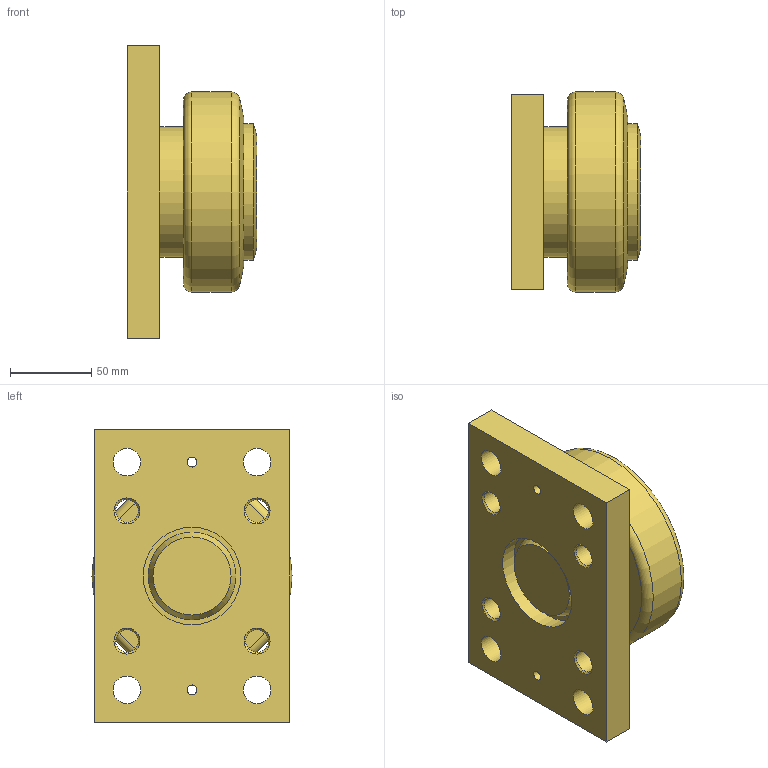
import cadquery as cq

PLATE_THICKNESS = 20
PLATE_WIDTH = 120
PLATE_HEIGHT = 180

HOLE_Y = 40
OUTER_ROW_Z = 70
INNER_ROW_Z = 40
CLEARANCE_DIAMETER = 17
THREAD_DIAMETER = 14
THREAD_CHAMFER = 1
DOWEL_DIAMETER = 6

RECESS_RADIUS = 30
RECESS_DEPTH = 10
PIN_BASE_RADIUS = 27
PIN_TIP_RADIUS = 24
PIN_PROJECTION = 6

HUB_RADIUS = 40
ROLLER_RADIUS = 61.5
ROLLER_START_X = 34.5
ROLLER_END_X = 71.5
EDGE_RADIUS = 5
TAPER_START_X = 69
TAPER_START_RADIUS = 57.5
TAPER_END_RADIUS = 46

CAP_RADIUS = 42
CAP_END_X = 79.5
CAP_CHAMFER_LENGTH = 2
CAP_CHAMFER_DEPTH = 7


def make_plate():
    return cq.Workplane("YZ").rect(PLATE_WIDTH, PLATE_HEIGHT).extrude(PLATE_THICKNESS)


def make_roller():
    """Hub, tyre and cap as one turned profile (X along the axis, Y as radius)."""
    tyre_flat_end_x = TAPER_START_X - EDGE_RADIUS
    profile = (
        cq.Workplane("XY")
        .moveTo(PLATE_THICKNESS, 0)
        .lineTo(PLATE_THICKNESS, HUB_RADIUS)
        .lineTo(ROLLER_START_X, HUB_RADIUS)
        .lineTo(ROLLER_START_X, ROLLER_RADIUS - EDGE_RADIUS)
        .radiusArc((ROLLER_START_X + EDGE_RADIUS, ROLLER_RADIUS), EDGE_RADIUS)
        .lineTo(tyre_flat_end_x, ROLLER_RADIUS)
        .tangentArcPoint((TAPER_START_X, TAPER_START_RADIUS), relative=False)
        .lineTo(ROLLER_END_X, TAPER_END_RADIUS)
        .lineTo(ROLLER_END_X, CAP_RADIUS)
        .lineTo(CAP_END_X - CAP_CHAMFER_LENGTH, CAP_RADIUS)
        .lineTo(CAP_END_X, CAP_RADIUS - CAP_CHAMFER_DEPTH)
        .lineTo(CAP_END_X, 0)
        .close()
    )
    return profile.revolve(360, (0, 0, 0), (1, 0, 0))


def round_holes(points, diameter):
    return cq.Workplane("YZ").pushPoints(points).circle(diameter / 2).extrude(PLATE_THICKNESS)


def corner_points(row_z):
    return [(y, z) for y in (-HOLE_Y, HOLE_Y) for z in (-row_z, row_z)]


def make_thread_holes():
    """Tapping holes through the plate, countersunk at the back face."""
    points = corner_points(INNER_ROW_Z)
    holes = round_holes(points, THREAD_DIAMETER)
    rim = THREAD_DIAMETER / 2 + THREAD_CHAMFER
    for y, z in points:
        countersink = cq.Solid.makeCone(
            rim, THREAD_DIAMETER / 2, THREAD_CHAMFER, cq.Vector(0, y, z), cq.Vector(1, 0, 0)
        )
        holes = holes.union(cq.Workplane(countersink))
    return holes


def make_recess():
    """Round pocket in the back face, leaving the tapered pin end standing on its floor."""
    pocket = cq.Workplane("YZ").circle(RECESS_RADIUS).extrude(RECESS_DEPTH)
    pin_end = cq.Solid.makeCone(
        PIN_BASE_RADIUS, PIN_TIP_RADIUS, PIN_PROJECTION, cq.Vector(RECESS_DEPTH, 0, 0), cq.Vector(-1, 0, 0)
    )
    return pocket.cut(cq.Workplane(pin_end))


clearance_holes = round_holes(corner_points(OUTER_ROW_Z), CLEARANCE_DIAMETER)
dowel_holes = round_holes([(0, -OUTER_ROW_Z), (0, OUTER_ROW_Z)], DOWEL_DIAMETER)

plate = make_plate().cut(clearance_holes).cut(make_thread_holes()).cut(dowel_holes)
result = plate.cut(make_recess()).union(make_roller())